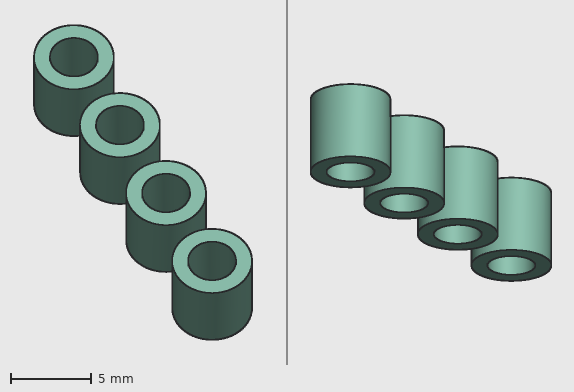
import cadquery as cq

row_length = 23.0
sleeve_count = 4
outer_diameter = 5.0
bore_diameter = 3.0
sleeve_height = 4.9

pitch = (row_length - outer_diameter) / (sleeve_count - 1)
first_center_x = -pitch * (sleeve_count - 1) / 2


def make_sleeve(center_x):
    """Plain upright sleeve with a through bore, standing on Z = 0."""
    return (
        cq.Workplane("XY")
        .center(center_x, 0)
        .circle(outer_diameter / 2)
        .circle(bore_diameter / 2)
        .extrude(sleeve_height)
    )


sleeves = [make_sleeve(first_center_x + index * pitch) for index in range(sleeve_count)]

result = cq.Compound.makeCompound([sleeve.val() for sleeve in sleeves])